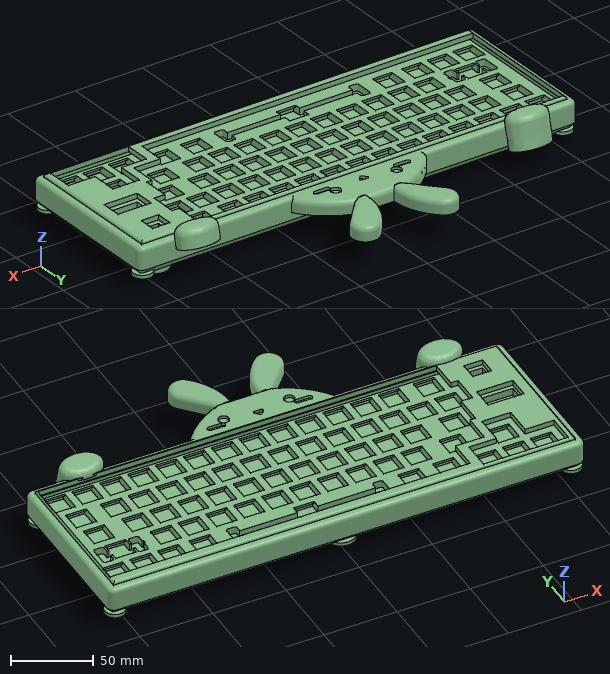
import cadquery as cq
import math

case_length = 326.0
case_back = 28.0
case_front = -85.54
case_bottom = -11.6
case_top = 10.2
case_corner_radius = 5.0
case_top_fillet = 3.0
skirt_height = 6.5
skirt_inset = 6.0
case_depth = case_back - case_front
case_center_y = (case_back + case_front) / 2

pad_top = -9.0
corner_pad_radius = 7.0
front_pad_radius = 10.0

frame_inset = 5.0
frame_bottom = 8.6
frame_top = 12.2
frame_fillet = 1.9
frame_length = case_length - 2 * frame_inset
frame_depth = case_depth - 2 * frame_inset

cavity_half_length = 157.0
cavity_back = 20.3
cavity_front = -79.0
plate_top = 6.1
plate_thickness = 5.0
plate_bottom = plate_top - plate_thickness
cavity_length = 2 * cavity_half_length
cavity_depth = cavity_back - cavity_front
cavity_center_y = (cavity_back + cavity_front) / 2

key_unit = 19.05
key_hole = 14.0
clip_lip = 1.5
clip_notch = 2.0
keys_left = -156.5
first_row_y = 11.5
arrow_drop = key_unit / 4

stab_width = 7.0
stab_height = 14.5
stab_corner = 1.5
stab_shift_y = -0.5
shift_stab_offset = 11.9
space_stab_offset = 50.0
stab_slot_height = 4.6
wire_notch_length = 0.8
wire_notch_height = 2.5


def key_x(units):
    return keys_left + units * key_unit


def row_y(row):
    return first_row_y - row * key_unit


shift_key_x = key_x(1.125)
space_key_x = key_x(7.375)
shift_row_y = row_y(3)
space_row_y = row_y(4)
arrow_row_y = space_row_y - arrow_drop

key_rows = [
    [0.5 + k for k in range(13)] + [13.75],
    [0.75] + [2.0 + k for k in range(13)],
    [0.875] + [2.25 + k for k in range(11)] + [13.625],
    [1.125] + [2.75 + k for k in range(10)] + [13.125],
    [0.5, 1.5, 2.5, 3.625, 7.375, 11.125, 12.375],
]
key_centers = [(key_x(u), row_y(row)) for row, units in enumerate(key_rows) for u in units]
key_centers += [(key_x(u), arrow_row_y) for u in (13.75, 14.75, 15.75)]
key_centers.append((key_x(14.75), arrow_row_y + key_unit))

field_left = -157.0
field_back = 21.1
field_front = -74.5
field_right_ends = [115.5, 120.5, 112.6, 108.7, 89.0]
arrow_left = 95.9
arrow_right = 153.9
arrow_up_left = 114.6
arrow_up_right = 134.2
arrow_front = cavity_front
knob_window = (12.8, 12.0)
knob_window_center = (136.7, 7.4)
screen_window = (24.6, 14.8)
screen_window_center = (137.7, -20.6)

head_radius = 60.0
head_center_y = -5.0
head_back = 52.3
head_bottom = 0.0
head_fillet = 4.5
head_root_y = 24.0
face_depth = 2.0
eye_diameter = 7.0
eye_x = 22.5
eye_y = 35.5
cheek_diameter = 3.6
cheek_inner_x = 25.5
cheek_outer_x = 34.0
cheek_y = 31.0
nose_half_width = 2.2
nose_bottom_y = 30.5
nose_top_y = 33.0
nose_radius = 1.0

ear_root_outer = (-18.8, 50.0)
ear_shoulder = (-36.4, 69.3)
ear_tip = (-22.7, 83.1)
ear_root_inner = (-8.8, 50.0)
ear_fillet = 4.0

paw_x = 122.7
paw_tilt = 14.0
paw_half_width = 15.0
paw_half_depth = 9.9
paw_top_y = 29.3
paw_top_z = 17.3
paw_fillet = 5.0
left_paw_length = 23.0
right_paw_length = 13.5

foot_x = 137.5
foot_y = 2.4
foot_half_width = 12.3
foot_half_depth = 14.5
foot_low_z = -18.63
foot_tilt = 4.0


def block(length, depth, center_x, center_y, bottom, top):
    """A rectangular block between two heights."""
    return (
        cq.Workplane("XY", origin=(center_x, center_y, bottom))
        .rect(length, depth)
        .extrude(top - bottom)
    )


def make_case_block():
    """Rounded block whose lower skirt slopes inwards, standing on low pads."""
    body = block(case_length, case_depth, 0, case_center_y, case_bottom, case_top)
    outline = body.edges("|Z").fillet(case_corner_radius)
    half_length = case_length / 2
    pads = (
        cq.Workplane("XY", origin=(0, 0, case_bottom))
        .pushPoints([
            (sx * (half_length - corner_pad_radius), case_center_y + sy * (case_depth / 2 - corner_pad_radius))
            for sx in (-1, 1) for sy in (-1, 1)
        ])
        .circle(corner_pad_radius)
        .extrude(pad_top - case_bottom)
    )
    front_pad = (
        cq.Workplane("XY", origin=(0, case_front + front_pad_radius, case_bottom))
        .circle(front_pad_radius)
        .extrude(pad_top - case_bottom)
    )
    return (
        outline.faces("<Z").chamfer(skirt_height, skirt_inset)
        .faces(">Z").edges().fillet(case_top_fillet)
        .union(pads).union(front_pad)
    )


def make_head():
    """Half-round head with a flattened back and a rounded upper edge."""
    disc = (
        cq.Workplane("XY", origin=(0, head_center_y, head_bottom))
        .circle(head_radius)
        .extrude(case_top - head_bottom)
    )
    keep_y = (head_back + head_root_y) / 2
    keep = block(2 * head_radius, head_back - head_root_y, 0, keep_y, head_bottom, case_top)
    rounded_disc = disc.faces(">Z").edges().fillet(head_fillet)
    rounded_keep = keep.edges(">Y and >Z").fillet(head_fillet)
    return rounded_disc.intersect(rounded_keep)


def make_left_ear():
    """Leaf-shaped ear, rounded along its upper edge."""
    ear = (
        cq.Workplane("XY", origin=(0, 0, head_bottom))
        .moveTo(*ear_root_outer)
        .lineTo(*ear_shoulder)
        .tangentArcPoint(ear_tip, relative=False)
        .tangentArcPoint(ear_root_inner, relative=False)
        .close()
        .extrude(case_top - head_bottom)
    )
    return ear.faces(">Z").edges("not(<Y)").fillet(ear_fillet)


def make_paw(x, length):
    """Elliptic post leaning back, with a rounded top."""
    return (
        cq.Workplane("XY")
        .ellipse(paw_half_width, paw_half_depth)
        .extrude(-length)
        .faces(">Z").edges().fillet(paw_fillet)
        .rotate((0, 0, 0), (1, 0, 0), paw_tilt)
        .translate((x, paw_top_y, paw_top_z))
    )


def make_foot(x):
    """Elliptic foot whose sole tilts up towards the front."""
    sole_drop = 2 * foot_half_depth * math.tan(math.radians(foot_tilt))
    foot = (
        cq.Workplane("XY", origin=(x, foot_y, foot_low_z))
        .ellipse(foot_half_width, foot_half_depth)
        .extrude(case_bottom - foot_low_z)
    )
    below_sole = (
        cq.Workplane("YZ", origin=(x - foot_half_width, 0, 0))
        .polyline([
            (foot_y + foot_half_depth, foot_low_z),
            (foot_y - foot_half_depth, foot_low_z),
            (foot_y - foot_half_depth, foot_low_z + sole_drop),
        ])
        .close()
        .extrude(2 * foot_half_width)
    )
    return foot.cut(below_sole)


def make_face_recesses():
    """Eyes, cheek slots and the three-cornered nose, sunk into the head."""
    face = cq.Workplane("XY", origin=(0, 0, case_top - face_depth))
    eyes = face.pushPoints([(-eye_x, eye_y), (eye_x, eye_y)]).circle(eye_diameter / 2).extrude(face_depth)
    cheek_x = (cheek_inner_x + cheek_outer_x) / 2
    cheeks = (
        face.pushPoints([(-cheek_x, cheek_y), (cheek_x, cheek_y)])
        .slot2D(cheek_outer_x - cheek_inner_x + cheek_diameter, cheek_diameter)
        .extrude(face_depth)
    )
    nose = (
        face.polyline([(-nose_half_width, nose_top_y), (0, nose_bottom_y), (nose_half_width, nose_top_y)])
        .close()
        .offset2D(nose_radius)
        .extrude(face_depth)
    )
    return eyes.union(cheeks).union(nose)


def make_housing():
    left_ear = make_left_ear()
    housing = make_case_block().union(make_head()).union(left_ear).union(left_ear.mirror("YZ"))
    housing = housing.cut(make_face_recesses())
    housing = housing.union(make_paw(-paw_x, left_paw_length)).union(make_paw(paw_x, right_paw_length))
    for x in (-foot_x, foot_x):
        housing = housing.union(make_foot(x))
    seat = block(frame_length, frame_depth, 0, case_center_y, frame_bottom, case_top)
    cavity = block(cavity_length, cavity_depth, 0, cavity_center_y, plate_bottom, case_top)
    return housing.cut(seat).cut(cavity)


def make_windows(bottom, top):
    """Cutters for the knob window and the screen window."""
    knob = block(*knob_window, *knob_window_center, bottom, top)
    screen = block(*screen_window, *screen_window_center, bottom, top)
    return knob.union(screen)


def make_frame(housing):
    """Raised frame with a stepped key-field opening, an arrow-key opening and two windows."""
    frame = block(frame_length, frame_depth, 0, case_center_y, frame_bottom, frame_top)
    frame = frame.faces(">Z").edges().fillet(frame_fillet)

    field = [(field_left, field_front), (field_left, field_back)]
    last_row = len(field_right_ends) - 1
    for row, right in enumerate(field_right_ends):
        field.append((right, field_back if row == 0 else row_y(row - 0.5)))
        field.append((right, field_front if row == last_row else row_y(row + 0.5)))
    arrow_back = arrow_row_y + key_unit / 2
    arrows = [
        (arrow_left, arrow_front),
        (arrow_left, arrow_back),
        (arrow_up_left, arrow_back),
        (arrow_up_left, arrow_back + key_unit),
        (arrow_up_right, arrow_back + key_unit),
        (arrow_up_right, arrow_back),
        (arrow_right, arrow_back),
        (arrow_right, arrow_front),
    ]
    for outline in (field, arrows):
        opening = cq.Workplane("XY", origin=(0, 0, frame_bottom)).polyline(outline).close()
        frame = frame.cut(opening.extrude(frame_top - frame_bottom))
    return frame.cut(make_windows(frame_bottom, frame_top)).cut(housing)


def make_stabiliser_cutters():
    """Rounded stabiliser cutouts beside the shift key and the space bar, joined by slots."""
    cutters = cq.Workplane("XY")
    for x, y, offset in (
        (shift_key_x, shift_row_y, shift_stab_offset),
        (space_key_x, space_row_y, space_stab_offset),
    ):
        stab_y = y + stab_shift_y
        for side in (-1, 1):
            stab = block(stab_width, stab_height, x + side * offset, stab_y, plate_bottom, plate_top)
            cutters = cutters.add(stab.edges("|Z").fillet(stab_corner))
        cutters = cutters.add(block(2 * offset, stab_slot_height, x, stab_y, plate_bottom, plate_top))
    notch_x = shift_key_x + shift_stab_offset + stab_width / 2
    notch = block(2 * wire_notch_length, wire_notch_height, notch_x, shift_row_y, plate_bottom, plate_top)
    return cutters.add(notch).combine()


def make_plate():
    """Key plate with square key holes, each undercut front and back below a thin lip."""
    plate = block(cavity_length, cavity_depth, 0, cavity_center_y, plate_bottom, plate_top)
    holes = (
        cq.Workplane("XY", origin=(0, 0, plate_bottom))
        .pushPoints(key_centers)
        .rect(key_hole, key_hole)
        .extrude(plate_thickness)
    )
    notches = (
        cq.Workplane("XY", origin=(0, 0, plate_bottom))
        .pushPoints(key_centers)
        .rect(key_hole, key_hole + 2 * clip_notch)
        .extrude(plate_thickness - clip_lip)
    )
    return plate.cut(holes).cut(notches).cut(make_stabiliser_cutters()).cut(make_windows(plate_bottom, plate_top))


housing = make_housing()
frame = make_frame(housing)
plate = make_plate()

result = cq.Compound.makeCompound([housing.val(), frame.val(), plate.val()])